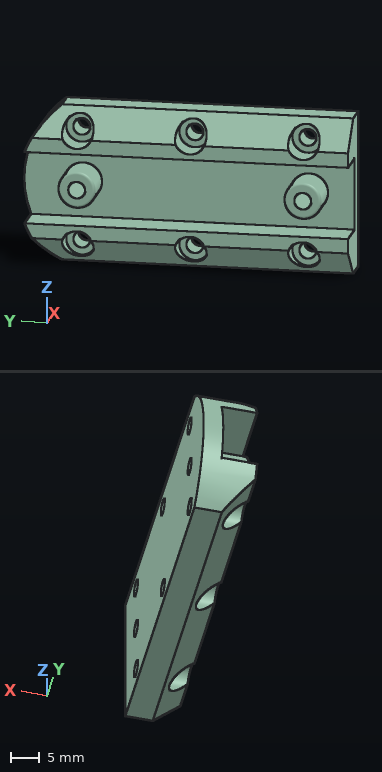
import cadquery as cq

thickness = 9.9
length = 58.45
width = 28.0
end_radius = 17.6

floor_thickness = 3.5
channel_width = 12.85
slope = 4.95

hole_diameter = 3.0
counterbore_diameter = 5.5
counterbore_floor = 4.95
hole_count = 3
hole_pitch = 20.0
first_hole = 8.0
rail_hole_offset = 10.15
post_diameter = 6.6
post_fillet = 0.5

half_width = width / 2
half_channel = channel_width / 2
rail_edge = half_width - slope
channel_floor = thickness - floor_thickness
counterbore_bottom = thickness - counterbore_floor
hole_rows = [first_hole + i * hole_pitch for i in range(hole_count)]
post_rows = [hole_rows[0], hole_rows[-1]]


def cylinder_along_x(diameter, start, end, y, z):
    """Solid cylinder parallel to X between two X positions."""
    axis = cq.Vector(1, 0, 0)
    return cq.Workplane(cq.Solid.makeCylinder(diameter / 2, end - start, cq.Vector(start, y, z), axis))


def make_rail_body():
    """Channel section with two sloped rails, extruded along Y."""
    section = [
        (thickness, -half_width),
        (thickness, half_width),
        (slope, half_width),
        (0, rail_edge),
        (0, half_channel),
        (channel_floor, half_channel),
        (channel_floor, -half_channel),
        (0, -half_channel),
        (0, -rail_edge),
        (slope, -half_width),
    ]
    return cq.Workplane("XZ").polyline(section).close().extrude(-length)


def make_rounded_outline():
    """Block whose +Y end is a circular arc across the width."""
    arc_drop = end_radius - (end_radius**2 - half_width**2) ** 0.5
    return (
        cq.Workplane("YZ")
        .moveTo(0, -half_width)
        .lineTo(length - arc_drop, -half_width)
        .threePointArc((length, 0), (length - arc_drop, half_width))
        .lineTo(0, half_width)
        .close()
        .extrude(thickness)
    )


result = make_rail_body().intersect(make_rounded_outline())

for y in post_rows:
    post = cylinder_along_x(post_diameter, 0, thickness, y, 0)
    result = result.union(post.faces("<X").fillet(post_fillet))
    result = result.cut(cylinder_along_x(hole_diameter, 0, thickness, y, 0))

for y in hole_rows:
    for z in (-rail_hole_offset, rail_hole_offset):
        result = result.cut(cylinder_along_x(hole_diameter, 0, thickness, y, z))
        result = result.cut(cylinder_along_x(counterbore_diameter, 0, counterbore_bottom, y, z))